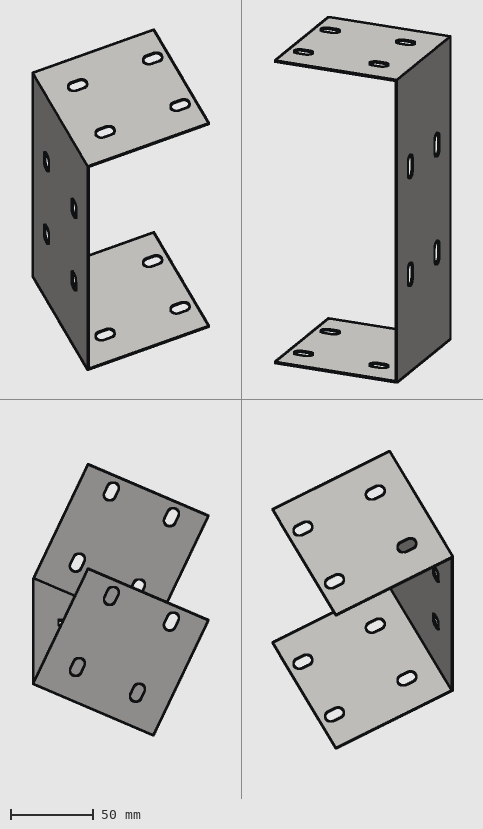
import cadquery as cq

width = 80.0
depth = 80.9
height = 196.7
thickness = 1.0

slot_width = 7.0
slot_spacing_x = 40.0
web_slot_length = 15.0
web_slot_spacing_z = 70.0
flange_slot_length = 12.0
flange_slot_spacing_y = 50.0
flange_slot_edge_distance = 10.0


def make_sheet():
    """Upright web at the -Y side with a flange running to +Y at each end."""
    block = cq.Workplane("XY").box(width, depth, height)
    cavity = (
        cq.Workplane("XY")
        .box(width, depth, height - 2 * thickness)
        .translate((0, thickness, 0))
    )
    return block.cut(cavity)


def make_web_slots():
    """Four upright slots reaching through the web only."""
    return (
        cq.Workplane("XZ", origin=(0, -depth / 2 + thickness, 0))
        .rarray(slot_spacing_x, web_slot_spacing_z, 2, 2)
        .slot2D(web_slot_length, slot_width, 90)
        .extrude(thickness)
    )


def make_flange_slots():
    """Four slots along Y that pass through both flanges."""
    pattern_center_y = depth / 2 - flange_slot_edge_distance - flange_slot_spacing_y / 2
    return (
        cq.Workplane("XY", origin=(0, pattern_center_y, 0))
        .rarray(slot_spacing_x, flange_slot_spacing_y, 2, 2)
        .slot2D(flange_slot_length, slot_width, 90)
        .extrude(height / 2, both=True)
    )


result = make_sheet().cut(make_web_slots()).cut(make_flange_slots())